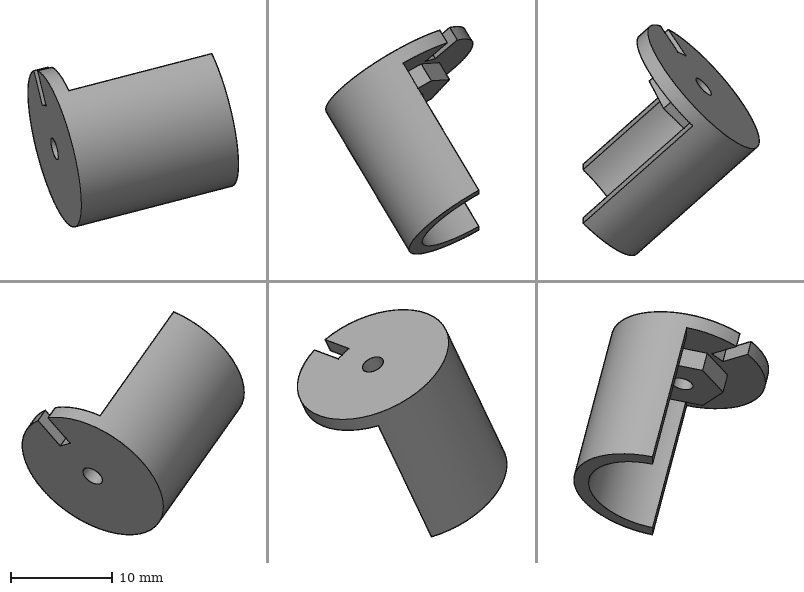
import cadquery as cq
import math

outer_diameter = 16.0
disc_thickness = 1.5
total_length = 16.5
wall_thickness = 1.5
hex_sides = 6
hex_across_flats = 7.2
hex_height = 2.0
bore_diameter = 2.2
slot_width = 1.6
slot_floor_radius = 4.4
slot_angle = 135.0

outer_radius = outer_diameter / 2
inner_radius = outer_radius - wall_thickness
hex_corner_diameter = hex_across_flats / math.cos(math.pi / hex_sides)

AXIAL_PLANE = cq.Plane(origin=(0, 0, 0), xDir=(1, 0, 0), normal=(0, 1, 0))


def axial_sketch(start):
    """Workplane across the part's axis at y = start."""
    return cq.Workplane(AXIAL_PLANE).workplane(offset=start)


def make_disc():
    """Round end plate, from y = 0."""
    return axial_sketch(0).circle(outer_radius).extrude(disc_thickness)


def make_half_wall():
    """Half tube on the +X side, from the disc to the far end."""
    tube = (
        axial_sketch(disc_thickness)
        .circle(outer_radius)
        .circle(inner_radius)
        .extrude(total_length - disc_thickness)
    )
    positive_x_half = cq.Workplane("XY").box(
        outer_radius, total_length, outer_diameter, centered=(False, False, True)
    )
    return tube.intersect(positive_x_half)


def make_hex_boss():
    """Hexagonal boss on the disc's inner face, with corners pointing along X."""
    return axial_sketch(disc_thickness).polygon(hex_sides, hex_corner_diameter).extrude(hex_height)


def make_bore():
    """Central hole through the disc and the boss."""
    return axial_sketch(0).circle(bore_diameter / 2).extrude(disc_thickness + hex_height)


def make_rim_slot():
    """Square-ended radial slot through the disc, open at the rim."""
    slot = (
        cq.Workplane("XY")
        .box(outer_radius, disc_thickness, slot_width, centered=(False, False, True))
        .translate((slot_floor_radius, 0, 0))
    )
    return slot.rotate((0, 0, 0), (0, 1, 0), -slot_angle)


result = (
    make_disc()
    .union(make_half_wall())
    .union(make_hex_boss())
    .cut(make_bore())
    .cut(make_rim_slot())
)